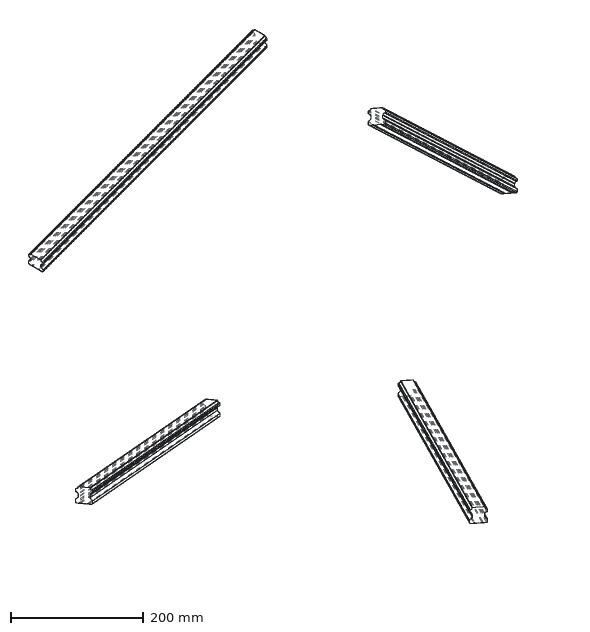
import cadquery as cq

width = 28.0
length = 560.0
height = 26.0

head_middle = 20.0
head_side_height = 2.8
side_bevel = 1.3
neck_bevel = 0.6
groove_sagitta = 0.9

web_width = 18.8
web_bottom = 10.0

foot_side_top = 5.7
foot_chamfer = 1.5

notch_position = 6.4
notch_size = 1.0

half_width = width / 2
half_web = web_width / 2


def head_points():
    """Right side of the head above its mid-plane, from the side edge up, as (X, height above it)."""
    side_end = head_side_height / 2
    top = height - head_middle
    return [
        (half_width, side_end),
        (half_width - side_bevel, side_end + side_bevel),
        (half_web + neck_bevel, top - neck_bevel),
        (half_web, top),
    ]


def half_profile():
    """Right half of the cross-section in the XZ plane, closed along the Z axis."""
    notch_inner = notch_position - notch_size / 2
    notch_outer = notch_position + notch_size / 2
    above = [(x, head_middle + offset) for x, offset in head_points()]
    below = [(x, head_middle - offset) for x, offset in head_points()]
    upper_side, upper_groove_start, upper_groove_end, top_corner = above
    lower_side, lower_groove_end, lower_groove_start, web_top = below

    return (
        cq.Workplane("XZ")
        .moveTo(0, 0)
        .lineTo(notch_inner, 0)
        .lineTo(notch_inner, notch_size)
        .lineTo(notch_outer, notch_size)
        .lineTo(notch_outer, 0)
        .lineTo(half_width - foot_chamfer, 0)
        .lineTo(half_width, foot_chamfer)
        .lineTo(half_width, foot_side_top)
        .lineTo(half_web, web_bottom)
        .lineTo(*web_top)
        .lineTo(*lower_groove_start)
        .sagittaArc(lower_groove_end, groove_sagitta)
        .lineTo(*lower_side)
        .lineTo(*upper_side)
        .lineTo(*upper_groove_start)
        .sagittaArc(upper_groove_end, groove_sagitta)
        .lineTo(*top_corner)
        .lineTo(0, height)
        .close()
    )


def rail():
    """Cross-section symmetric about the YZ plane, extruded along Y and centred on the origin in Y."""
    right_half = half_profile().extrude(length / 2, both=True)
    return right_half.union(right_half.mirror("YZ")).clean()


result = rail()